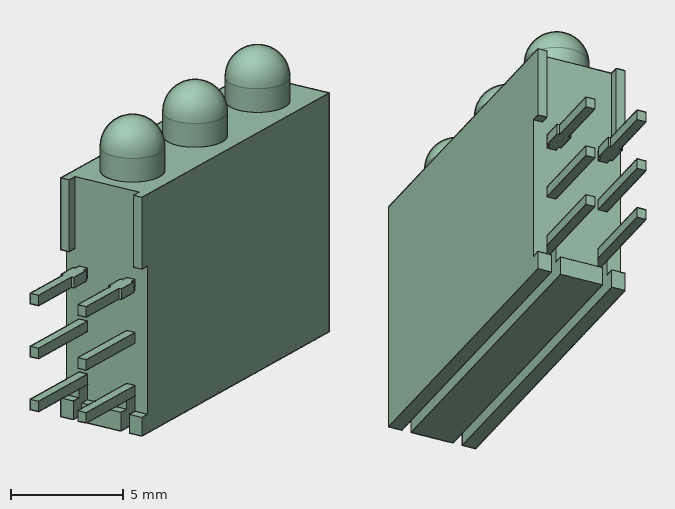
import cadquery as cq

body_width = 4.33
body_length = 15.24
body_height = 11.45

recess_depth = 0.47
lug_width = 0.45
lug_height = 3.45
foot_height = 0.9

led_count = 3
led_pitch = body_length / led_count
led_diameter = 2.9
led_radius = led_diameter / 2
overall_height = 14.04
led_straight_height = overall_height - body_height - led_radius

overall_length = 18.74
lead_width = 0.45
lead_height = 0.5
lead_pitch = 2.54
lead_rows = led_count
lowest_lead_bottom = 1.63
lead_length = overall_length - body_length + recess_depth
lead_sides = (-lead_pitch / 2, lead_pitch / 2)

shoulder_width = 0.7
shoulder_length = 1.01
shoulder_offset = 0.28


def block(width, length, height, x, front_y, bottom_z):
    """Box centred on x that extends toward +Y and +Z."""
    box = cq.Workplane("XY").box(width, length, height, centered=(True, False, False))
    return box.translate((x, front_y, bottom_z))


def make_housing():
    housing = block(body_width, body_length, body_height, 0, 0, 0)

    lug_bottom = body_height - lug_height
    low_recess = block(body_width, recess_depth, lug_bottom - foot_height, 0, 0, foot_height)
    high_recess = block(body_width - 2 * lug_width, recess_depth, lug_height, 0, 0, lug_bottom)
    housing = housing.cut(low_recess).cut(high_recess)

    for x in lead_sides:
        housing = housing.cut(block(lead_width, body_length, lowest_lead_bottom, x, 0, 0))
    return housing


def make_led(y):
    """Upright cylinder with a hemispherical dome."""
    dome_bottom = body_height + led_straight_height
    profile = (
        cq.Workplane("XZ")
        .moveTo(0, body_height)
        .lineTo(led_radius, body_height)
        .lineTo(led_radius, dome_bottom)
        .radiusArc((0, overall_height), -led_radius)
        .close()
    )
    return profile.revolve(360, (0, 0, 0), (0, 1, 0)).translate((0, y, 0))


def make_lead(x, row):
    """Straight lead; the uppermost row carries the widened shoulder."""
    bottom = lowest_lead_bottom + row * lead_pitch
    lead = block(lead_width, lead_length, lead_height, x, recess_depth - lead_length, bottom)
    if row == lead_rows - 1:
        shoulder_front = recess_depth - shoulder_offset - shoulder_length
        lead = lead.union(block(shoulder_width, shoulder_length, lead_height, x, shoulder_front, bottom))
    return lead


result = make_housing()
for index in range(led_count):
    result = result.union(make_led((index + 0.5) * led_pitch))
for row in range(lead_rows):
    for x in lead_sides:
        result = result.union(make_lead(x, row))